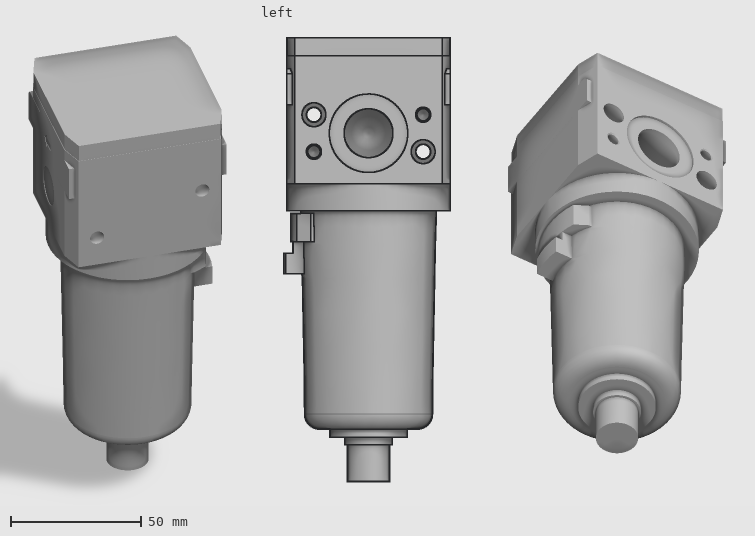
import cadquery as cq
import math


total_height = 170.7
cap_top = 36.7
cap_height = 7.0
body_bottom = -19.5
collar_bottom = -29.9
bowl_bottom = -113.8
drain_disc_bottom = -116.9
drain_step_bottom = -119.8
drain_bottom = cap_top - total_height
body_top = cap_top - cap_height

body_width = 63.0
body_depth = 62.96
cap_width = 62.8
cap_depth = 62.7
bevel_run = 9.15
bevel_angle = math.radians(18.5)
bevel_rise = bevel_run * math.tan(bevel_angle)

plate_span_y = 63.0
plate_length = 57.4
plate_bottom = 10.9
plate_top = 24.8
plate_depth = 4.0
plate_corner = 2.0

arrow_z = 17.6
arrow_tip_x = -5.7
arrow_neck_x = -2.4
arrow_tail_x = 2.5
arrow_half_height = 3.0
arrow_shaft_half_height = 1.4
engraving_depth = 0.2

gauge_radius = 7.7
gauge_z = -1.7
gauge_depth = 0.3

port_radius = 9.4
port_depth = 18.0
port_cone_depth = 8.0
seal_radius = 15.1
seal_depth = 1.0

bolt_y = 21.0
bolt_z = 7.1
bolt_radius = 2.8
bolt_head_radius = 4.6
bolt_head_depth = 12.0
thread_radius = 2.4
thread_entry_radius = 2.9
thread_depth = 10.0
thread_tip = thread_radius * math.tan(math.radians(31))

collar_radius = 31.5
bowl_top_radius = 26.13
bowl_base_radius = 24.5
bowl_base_fillet = 6.0
drain_disc_radius = 14.9
drain_step_radius = 9.2
drain_radius = 8.15

latch_top = -30.8
latch_bottom = -41.7
latch_radius = 30.05
latch_edge_x = 12.6
latch_edge_y = 27.6
latch_root_x = 15.4
latch_root_y = 22.3
latch_inner_y = 20.0
lever_half_width = 7.0
lever_neck_y = 29.1
lever_neck_bottom = -46.1
lever_tip_y = 32.68
lever_bottom = -54.1


def disc(radius, top, bottom):
    return cq.Workplane("XY", origin=(0, 0, bottom)).circle(radius).extrude(top - bottom)


def bevelled_block(width_x, width_y, top, bottom):
    """Block whose four corners are cut by shallow planes running into the front and back faces."""
    half_x = width_x / 2
    half_y = width_y / 2
    flat_x = half_x - bevel_run
    side_y = half_y - bevel_rise
    outline = [
        (-half_x, -side_y),
        (-flat_x, -half_y),
        (flat_x, -half_y),
        (half_x, -side_y),
        (half_x, side_y),
        (flat_x, half_y),
        (-flat_x, half_y),
        (-half_x, side_y),
    ]
    return cq.Workplane("XY", origin=(0, 0, bottom)).polyline(outline).close().extrude(top - bottom)


def name_plate(outer_y):
    """Plate with its upper -X corner cut off, extruded toward -Y from outer_y."""
    half = plate_length / 2
    outline = [
        (-half, plate_bottom),
        (half, plate_bottom),
        (half, plate_top),
        (-half + plate_corner, plate_top),
        (-half, plate_top - plate_corner),
    ]
    plane = cq.Workplane("XZ", origin=(0, outer_y, 0))
    return plane.polyline(outline).close().extrude(plate_depth)


def flow_arrow():
    outline = [
        (arrow_tip_x, arrow_z),
        (arrow_neck_x, arrow_z + arrow_half_height),
        (arrow_neck_x, arrow_z + arrow_shaft_half_height),
        (arrow_tail_x, arrow_z + arrow_shaft_half_height),
        (arrow_tail_x, arrow_z - arrow_shaft_half_height),
        (arrow_neck_x, arrow_z - arrow_shaft_half_height),
        (arrow_neck_x, arrow_z - arrow_half_height),
    ]
    plane = cq.Workplane("XZ", origin=(0, -plate_span_y / 2 + engraving_depth, 0))
    return plane.polyline(outline).close().extrude(engraving_depth)


def gauge_recess():
    plane = cq.Workplane("XZ", origin=(0, -body_depth / 2 + gauge_depth, gauge_z))
    return plane.circle(gauge_radius).extrude(gauge_depth)


def side_hole(y, z, radius, depth, tip_depth=0.0):
    """Hole cut inward from the -X face, ending flat or in a cone."""
    origin = (-body_width / 2, y, z)
    hole = cq.Workplane("YZ", origin=origin).circle(radius).extrude(depth)
    if tip_depth > 0:
        axis = cq.Vector(1, 0, 0)
        base = cq.Vector(*origin) + axis * depth
        hole = hole.union(cq.Workplane(cq.Solid.makeCone(radius, 0, tip_depth, base, axis)))
    return hole


def thread_entry(y, z):
    """45 degree cone that opens the mouth of a threaded hole."""
    mouth = cq.Vector(-body_width / 2, y, z)
    height = thread_entry_radius - thread_radius
    cone = cq.Solid.makeCone(thread_entry_radius, thread_radius, height, mouth, cq.Vector(1, 0, 0))
    return cq.Workplane(cone)


def bowl():
    """Tapered bowl with a rounded base."""
    outline = [
        (0, bowl_bottom),
        (bowl_base_radius, bowl_bottom),
        (bowl_top_radius, collar_bottom),
        (0, collar_bottom),
    ]
    solid = cq.Workplane("XZ").polyline(outline).close().revolve(360, (0, 0, 0), (0, 1, 0))
    return solid.faces("<Z").edges().fillet(bowl_base_fillet)


def latch():
    """Bowed latch plate with flared sides."""
    return (
        cq.Workplane("XY", origin=(0, 0, latch_bottom))
        .moveTo(-latch_root_x, latch_inner_y)
        .lineTo(-latch_root_x, latch_root_y)
        .lineTo(-latch_edge_x, latch_edge_y)
        .threePointArc((0, latch_radius), (latch_edge_x, latch_edge_y))
        .lineTo(latch_root_x, latch_root_y)
        .lineTo(latch_root_x, latch_inner_y)
        .close()
        .extrude(latch_top - latch_bottom)
    )


def lever():
    """Finger lever below the latch, stepping outward at its foot and rounded in plan."""
    outline = [
        (latch_inner_y, latch_bottom),
        (lever_neck_y, latch_bottom),
        (lever_neck_y, lever_neck_bottom),
        (lever_tip_y, lever_neck_bottom),
        (lever_tip_y, lever_bottom),
        (latch_inner_y, lever_bottom),
    ]
    finger = (
        cq.Workplane("YZ", origin=(-lever_half_width, 0, 0))
        .polyline(outline)
        .close()
        .extrude(2 * lever_half_width)
    )
    return finger.intersect(disc(lever_tip_y, latch_bottom, lever_bottom))


part = bevelled_block(body_width, body_depth, body_top, body_bottom)
part = part.union(bevelled_block(cap_width, cap_depth, cap_top, body_top))
part = part.union(name_plate(-plate_span_y / 2 + plate_depth))
part = part.union(name_plate(plate_span_y / 2))

part = part.union(disc(collar_radius, body_bottom, collar_bottom))
part = part.union(bowl())
part = part.union(disc(drain_disc_radius, bowl_bottom, drain_disc_bottom))
part = part.union(disc(drain_step_radius, drain_disc_bottom, drain_step_bottom))
part = part.union(disc(drain_radius, drain_step_bottom, drain_bottom))
part = part.union(latch())
part = part.union(lever())

part = part.cut(flow_arrow())
part = part.cut(gauge_recess())
part = part.cut(side_hole(0, 0, seal_radius, seal_depth))
part = part.cut(side_hole(0, 0, port_radius, port_depth, port_cone_depth))
for side in (1, -1):
    part = part.cut(side_hole(side * bolt_y, side * bolt_z, bolt_radius, body_width))
    part = part.cut(side_hole(side * bolt_y, side * bolt_z, bolt_head_radius, bolt_head_depth))
    part = part.cut(side_hole(side * bolt_y, -side * bolt_z, thread_radius, thread_depth, thread_tip))
    part = part.cut(thread_entry(side * bolt_y, -side * bolt_z))

result = part